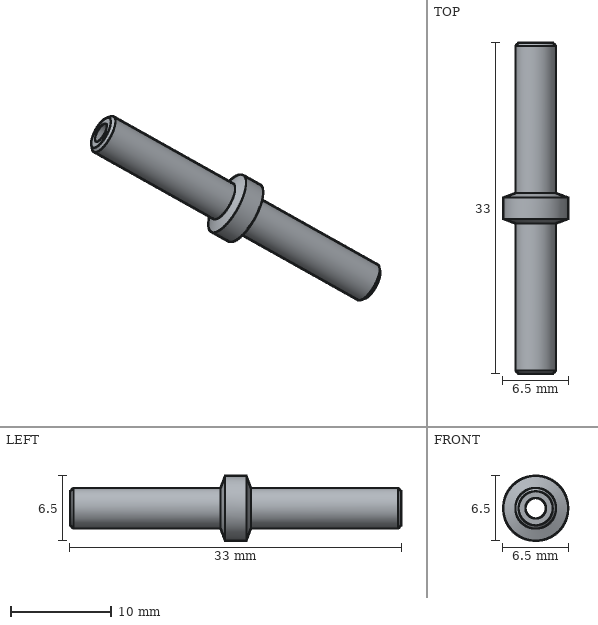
import cadquery as cq

length = 33.0
tube_diameter = 4.05
bore_diameter = 2.0
end_chamfer_length = 0.33
end_chamfer_depth = 0.33

collar_diameter = 6.5
collar_width = 3.05
rim_width = 2.1

half_length = length / 2
tube_radius = tube_diameter / 2
bore_radius = bore_diameter / 2
collar_radius = collar_diameter / 2

half_section = (
    cq.Workplane("XY")
    .moveTo(bore_radius, -half_length)
    .lineTo(tube_radius - end_chamfer_depth, -half_length)
    .lineTo(tube_radius, -half_length + end_chamfer_length)
    .lineTo(tube_radius, -collar_width / 2)
    .lineTo(collar_radius, -rim_width / 2)
    .lineTo(collar_radius, rim_width / 2)
    .lineTo(tube_radius, collar_width / 2)
    .lineTo(tube_radius, half_length - end_chamfer_length)
    .lineTo(tube_radius - end_chamfer_depth, half_length)
    .lineTo(bore_radius, half_length)
    .close()
)

result = half_section.revolve(360, (0, 0, 0), (0, 1, 0))